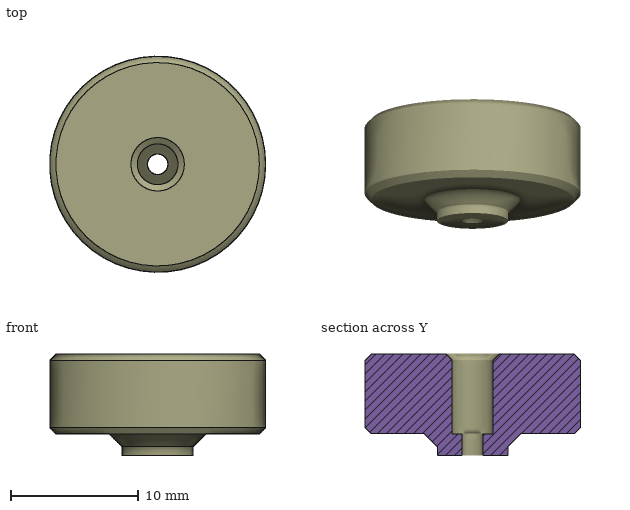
import cadquery as cq

total_height = 8.0
body_diameter = 17.0
edge_chamfer = 0.5
spigot_diameter = 5.6
spigot_height = 0.7
cone_height = 1.0
through_diameter = 1.6
counterbore_diameter = 3.2
counterbore_chamfer = 0.5

body_radius = body_diameter / 2
spigot_radius = spigot_diameter / 2
cone_radius = spigot_radius + cone_height
rim_radius = body_radius - edge_chamfer
body_bottom = spigot_height + cone_height
counterbore_depth = total_height - body_bottom


def make_body():
    """Solid wheel with chamfered rims, on a conical neck and a short spigot."""
    outline = [
        (0, 0),
        (spigot_radius, 0),
        (spigot_radius, spigot_height),
        (cone_radius, body_bottom),
        (rim_radius, body_bottom),
        (body_radius, body_bottom + edge_chamfer),
        (body_radius, total_height - edge_chamfer),
        (rim_radius, total_height),
        (0, total_height),
    ]
    return cq.Workplane("XZ").polyline(outline).close().revolve(360, (0, 0), (0, 1))


def make_bore():
    """Stepped centre bore: small through hole, counterbore and lead-in chamfer."""
    through_radius = through_diameter / 2
    counterbore_radius = counterbore_diameter / 2
    floor = total_height - counterbore_depth
    outline = [
        (0, 0),
        (through_radius, 0),
        (through_radius, floor),
        (counterbore_radius, floor),
        (counterbore_radius, total_height - counterbore_chamfer),
        (counterbore_radius + counterbore_chamfer, total_height),
        (0, total_height),
    ]
    return cq.Workplane("XZ").polyline(outline).close().revolve(360, (0, 0), (0, 1))


result = make_body().cut(make_bore())